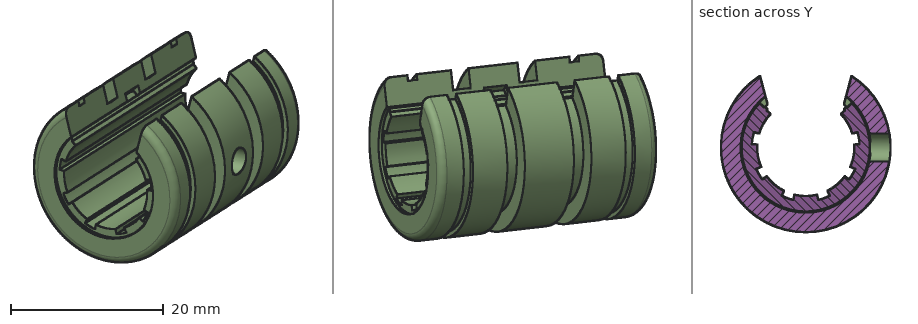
import cadquery as cq
import math


housing_length = 31.75
housing_radius = 11.1
bore_radius = 7.52
end_round_radius = 1.02

ring_groove_radius = 10.4
ring_groove_width = 1.33
ring_groove_offset = 11.75
wide_groove_radius = 8.67
wide_groove_width = 2.55
wide_groove_offset = 4.83

slot_tip_height = 9.37
slot_wall_tilt = 15.0

fixing_hole_diameter = 3.62

liner_length = 30.8
liner_bore_radius = 7.05
liner_opening_angle = 90.0
collar_radius = 8.4
collar_clearance = 0.1
collar_width = 3.27
collar_opening_angle = 92.0

rib_count = 7
rib_pitch_angle = 40.0
rib_angle = 27.2
rib_tip_radius = 6.35


def cylinder(radius, length, center_y=0.0):
    """Solid cylinder along Y, centred at center_y."""
    return (
        cq.Workplane("XZ", origin=(0, center_y, 0))
        .circle(radius)
        .extrude(length / 2, both=True)
    )


def ring(outer_radius, inner_radius, length, center_y=0.0):
    """Hollow cylinder along Y, centred at center_y."""
    return cylinder(outer_radius, length, center_y).cut(cylinder(inner_radius, length, center_y))


def polar_point(radius, angle):
    """Point in the XZ plane; the angle is in degrees from +X towards +Z."""
    return (radius * math.cos(math.radians(angle)), radius * math.sin(math.radians(angle)))


def slot_cutter():
    """Wedge that widens upwards between the two tilted slot walls."""
    tip_half_width = math.sqrt(housing_radius**2 - slot_tip_height**2)
    wall_slope = math.tan(math.radians(slot_wall_tilt))
    top = 2 * housing_radius
    top_half_width = tip_half_width + (top - slot_tip_height) * wall_slope
    axis_half_width = tip_half_width - slot_tip_height * wall_slope
    return (
        cq.Workplane("XZ")
        .polyline(
            [
                (-axis_half_width, 0),
                (axis_half_width, 0),
                (top_half_width, top),
                (-top_half_width, top),
            ]
        )
        .close()
        .extrude(housing_length, both=True)
    )


def make_housing():
    """Rounded sleeve with outer grooves, a collar recess, a fixing hole and the slot."""
    body = cylinder(housing_radius, housing_length).edges().fillet(end_round_radius)
    body = body.cut(cylinder(bore_radius, housing_length))

    for side in (-1, 1):
        body = body.cut(
            ring(2 * housing_radius, ring_groove_radius, ring_groove_width, side * ring_groove_offset)
        )
        body = body.cut(
            ring(2 * housing_radius, wide_groove_radius, wide_groove_width, side * wide_groove_offset)
        )

    body = body.cut(cylinder(collar_radius + collar_clearance, collar_width))

    fixing_hole = cq.Workplane("YZ").circle(fixing_hole_diameter / 2).extrude(2 * housing_radius)
    return body.cut(fixing_hole).cut(slot_cutter())


def make_rib(center_angle):
    """Rib with radial flanks and a concave tip, joined to the liner wall."""
    start = center_angle - rib_angle / 2
    end = center_angle + rib_angle / 2
    root_radius = (liner_bore_radius + bore_radius) / 2
    return (
        cq.Workplane("XZ")
        .moveTo(*polar_point(rib_tip_radius, start))
        .lineTo(*polar_point(root_radius, start))
        .threePointArc(polar_point(root_radius, center_angle), polar_point(root_radius, end))
        .lineTo(*polar_point(rib_tip_radius, end))
        .threePointArc(polar_point(rib_tip_radius, center_angle), polar_point(rib_tip_radius, start))
        .close()
        .extrude(liner_length / 2, both=True)
    )


def opening_cutter(opening_angle):
    """Wedge from the axis that leaves radial end faces on the liner and its collar."""
    reach = 2 * housing_radius
    half_angle = opening_angle / 2
    return (
        cq.Workplane("XZ")
        .polyline([(0, 0), polar_point(reach, 90 - half_angle), polar_point(reach, 90 + half_angle)])
        .close()
        .extrude(liner_length, both=True)
    )


def make_liner():
    """Open sleeve with a locating collar at mid-length and ribs inside."""
    body = ring(bore_radius, liner_bore_radius, liner_length)
    body = body.cut(opening_cutter(liner_opening_angle))

    collar = ring(collar_radius, liner_bore_radius, collar_width)
    body = body.union(collar.cut(opening_cutter(collar_opening_angle)))

    bottom_angle = 270.0
    for index in range(rib_count):
        offset = index - (rib_count - 1) / 2
        body = body.union(make_rib(bottom_angle + offset * rib_pitch_angle))
    return body


housing = make_housing()
liner = make_liner()

result = cq.Compound.makeCompound([*housing.solids().vals(), *liner.solids().vals()])